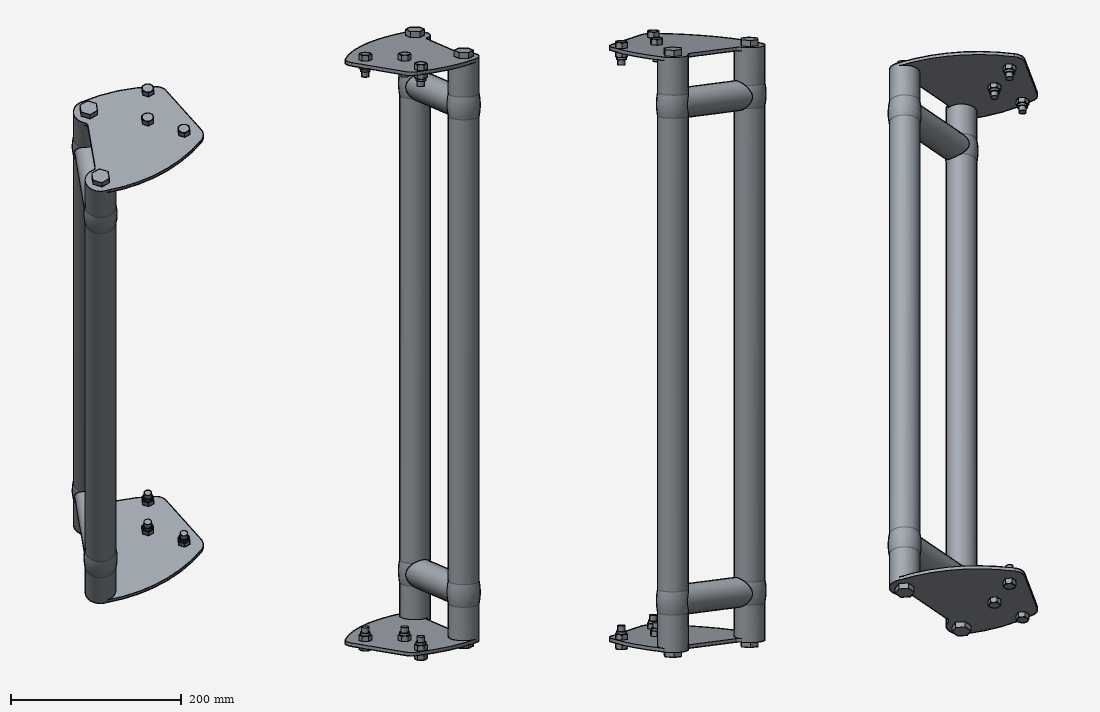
import cadquery as cq
import math

height = 724.0
head_height = 7.0

post_left = (-53.0, -26.0)
post_right = (51.5, -61.0)
post_diameter = 36.0
post_radius = post_diameter / 2

collar_height = 27.5
collar_diameter = 39.0

cross_diameter = 35.5
cross_level = 296.0

plate_thickness = 4.0
plate_top = height / 2 - head_height
plate_base = plate_top - plate_thickness
plate_front_offset = 3.5
plate_rear_left = (-52.0, 69.5)
plate_rear_right = (39.0, 82.0)
plate_left_bulge = (-69.0, 19.0)
plate_right_bulge = (72.0, 0.0)
rear_left_fillet = 14.5
rear_right_fillet = 16.0
front_fillet = 6.0

post_bolt_corners = 22.5

plate_bolts = [(-51.5, 50.0), (-9.5, 30.0), (25.0, 60.0)]
plate_bolt_corners = 15.0
plate_bolt_chamfer = 1.1
shank_diameter = 9.0
nut_height = 6.5
nut_dome_height = 3.0
nut_dome_diameter = 11.5
shank_overhang = 16.0

span_x = post_right[0] - post_left[0]
span_y = post_right[1] - post_left[1]
span = math.hypot(span_x, span_y)
direction = (span_x / span, span_y / span)
outward = (direction[1], -direction[0])


def cylinder(center, diameter, base, length):
    return cq.Workplane("XY", origin=(*center, base)).circle(diameter / 2).extrude(length)


def hexagon(center, corners, base, length):
    """Hexagonal prism with two corners on the direction from post to post."""
    plane = cq.Plane(origin=(*center, base), xDir=(*direction, 0), normal=(0, 0, 1))
    return cq.Workplane(plane).polygon(6, corners).extrude(length)


def chamfered_hexagon(center, corners, base, length, chamfered_face):
    """Hexagonal prism whose corners are turned off to a cone at one end."""
    turning = cylinder(center, corners, base, length).faces(chamfered_face).chamfer(plate_bolt_chamfer)
    return hexagon(center, corners, base, length).intersect(turning)


def front_edge_point(post):
    return (post[0] + outward[0] * plate_front_offset, post[1] + outward[1] * plate_front_offset)


def end_plate():
    left_side = (post_left[0] - post_radius, post_left[1])
    right_side = (post_right[0] + post_radius, post_right[1])
    body = (
        cq.Workplane("XY", origin=(0, 0, plate_base))
        .moveTo(*left_side)
        .threePointArc(plate_left_bulge, plate_rear_left)
        .lineTo(*plate_rear_right)
        .threePointArc(plate_right_bulge, right_side)
        .lineTo(*front_edge_point(post_right))
        .lineTo(*front_edge_point(post_left))
        .close()
        .extrude(plate_thickness)
    )
    rear_left = cq.selectors.NearestToPointSelector((*plate_rear_left, plate_base))
    rear_right = cq.selectors.NearestToPointSelector((*plate_rear_right, plate_base))
    body = body.edges("|Z").edges(rear_left).fillet(rear_left_fillet)
    body = body.edges("|Z").edges(rear_right).fillet(rear_right_fillet)
    for post in (post_left, post_right):
        body = body.union(cylinder(post, post_diameter, plate_base, plate_thickness))

    reach = math.sqrt(post_radius**2 - plate_front_offset**2)
    for post, side in ((post_left, 1), (post_right, -1)):
        edge = front_edge_point(post)
        corner = (edge[0] + side * reach * direction[0], edge[1] + side * reach * direction[1])
        nearest = cq.selectors.NearestToPointSelector((*corner, plate_base + plate_thickness / 2))
        body = body.edges("|Z").edges(nearest).fillet(front_fillet)
    return body


def plate_bolt(center):
    nut_base = plate_base - nut_height
    dome_base = nut_base - nut_dome_height
    head = chamfered_hexagon(center, plate_bolt_corners, plate_top, head_height, ">Z")
    nut = chamfered_hexagon(center, plate_bolt_corners, nut_base, nut_height, "<Z")
    dome = cylinder(center, nut_dome_diameter, dome_base, nut_dome_height)
    shank = cylinder(center, shank_diameter, plate_base - shank_overhang, shank_overhang)
    return head.union(nut).union(dome).union(shank)


def collar(post):
    half = collar_height / 2
    return (
        cq.Workplane("XZ", origin=(*post, cross_level))
        .moveTo(0, -half)
        .lineTo(post_radius, -half)
        .threePointArc((collar_diameter / 2, 0), (post_radius, half))
        .lineTo(0, half)
        .close()
        .revolve(360, (0, 0, 0), (0, 1, 0))
    )


def cross_tube():
    plane = cq.Plane(origin=(*post_left, cross_level), normal=(*direction, 0), xDir=(0, 0, 1))
    return cq.Workplane(plane).circle(cross_diameter / 2).extrude(span)


def upper_half():
    half = end_plate().union(cross_tube())
    for post in (post_left, post_right):
        half = half.union(cylinder(post, post_diameter, 0, plate_base))
        half = half.union(collar(post))
        half = half.union(hexagon(post, post_bolt_corners, plate_top, head_height))
    for center in plate_bolts:
        half = half.union(plate_bolt(center))
    return half


upper = upper_half()
result = upper.union(upper.mirror("XY")).clean()